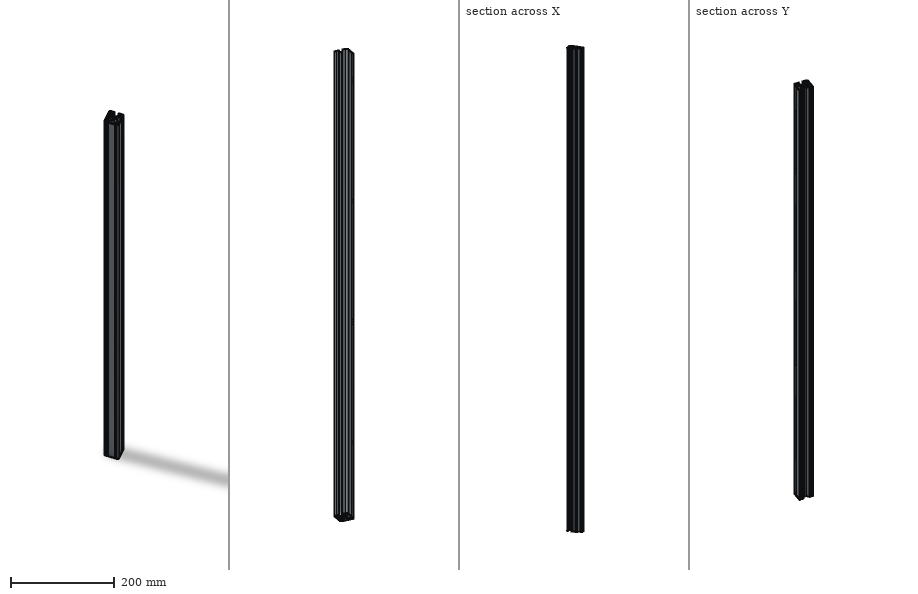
import cadquery as cq

SIDE = 30.0
LENGTH = 1000.0
CORNER_RADIUS = 3.0
CORE_HOLE_DIAMETER = 5.0
HALF = SIDE / 2

SLOT_OPENING = 8.2
LIP_THICKNESS = 2.5
SKIN_THICKNESS = 1.5
CHAMBER_WIDTH = 13.0
FLOOR_WIDTH = 5.0
SHOULDER_DEPTH = 4.5
CHAMBER_DEPTH = 9.5

CORNER_HOLLOW = 3.5
CORNER_WALL = 2.0

CLOSED_SIDE_ANGLES = (90, 180, 270)
CORNER_ANGLES = (0, 90, 180, 270)


def turned(shape, angle):
    """Shape turned about the bar's axis."""
    return shape.rotate((0, 0, 0), (0, 0, 1), angle)


def bar():
    return (
        cq.Workplane("XY")
        .rect(SIDE, SIDE)
        .extrude(LENGTH)
        .edges("|Z")
        .fillet(CORNER_RADIUS)
    )


def core_hole():
    return cq.Workplane("XY").circle(CORE_HOLE_DIAMETER / 2).extrude(LENGTH)


def chamber(wall):
    """Tapered cavity behind the +Y wall."""
    top = HALF - wall
    shoulder = HALF - SHOULDER_DEPTH
    floor = HALF - CHAMBER_DEPTH
    return (
        cq.Workplane("XY")
        .polyline([
            (-CHAMBER_WIDTH / 2, top),
            (CHAMBER_WIDTH / 2, top),
            (CHAMBER_WIDTH / 2, shoulder),
            (FLOOR_WIDTH / 2, floor),
            (-FLOOR_WIDTH / 2, floor),
            (-CHAMBER_WIDTH / 2, shoulder),
        ])
        .close()
        .extrude(LENGTH)
    )


def open_slot():
    """T-slot on +Y: a chamber with an opening between its lips."""
    mouth = (
        cq.Workplane("XY")
        .center(0, HALF - SHOULDER_DEPTH / 2)
        .rect(SLOT_OPENING, SHOULDER_DEPTH)
        .extrude(LENGTH)
    )
    return chamber(LIP_THICKNESS).union(mouth)


def corner_hollow():
    """Square cavity in the +X +Y corner, rounded on its outer edge."""
    center = HALF - CORNER_WALL - CORNER_HOLLOW / 2
    return (
        cq.Workplane("XY")
        .center(center, center)
        .rect(CORNER_HOLLOW, CORNER_HOLLOW)
        .extrude(LENGTH)
        .edges("|Z and >X and >Y")
        .fillet(CORNER_RADIUS - CORNER_WALL)
    )


result = bar().cut(core_hole()).cut(open_slot())
for angle in CLOSED_SIDE_ANGLES:
    result = result.cut(turned(chamber(SKIN_THICKNESS), angle))
for angle in CORNER_ANGLES:
    result = result.cut(turned(corner_hollow(), angle))